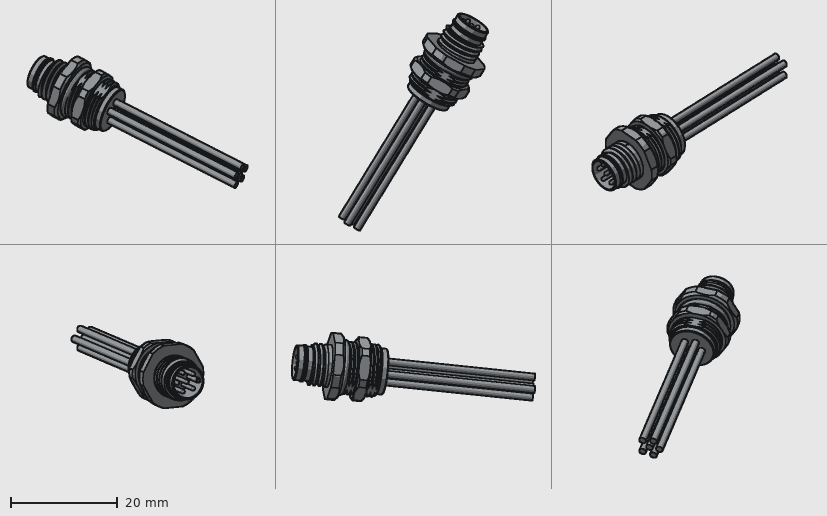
import cadquery as cq
import math


bump_start = 1.22
bump_end = 1.95
front_thread_start = 2.9
front_groove_end = 6.0
flange_start = 6.5
flange_end = 8.55
seal_end = 9.65
nut_start = 11.35
nut_end = 13.5
rear_thread_end = 15.75
rear_taper_end = 15.95
body_end = 17.1
overall_length = 45.5

sleeve_radius = 3.3
neck_radius = 3.25
bump_radius = 3.5
edge_chamfer = 0.15
socket_radius = 2.75
socket_mouth_radius = 2.95
socket_depth = 5.0

contact_circle_radius = 1.94
contact_step = 67
pin_radius = 0.4
pin_recess = 0.3
key_radius = 0.47
key_chamfer = 0.15
key_offset = 2.56
key_recess = 0.8
wire_radius = 0.67
contact_embedding = 1.0

front_thread_radius = 4.0
front_pitch = 1.0
front_thread_depth = 0.6
rear_thread_radius = 4.97
rear_pitch = 0.75
rear_thread_depth = 0.42
rear_thread_chamfer = 0.35
rear_thread_flat_height = 4.5
groove_mouth_ratio = 0.99
groove_overshoot = 0.1

flange_across_flats = 12.0
flange_corner_radius = 6.3
flange_chamfer_radius = 5.8
flange_chamfer_length = 0.5
seal_outer_radius = 5.22
nut_across_flats = 11.1
nut_corner_radius = 6.0
nut_chamfer_radius = 5.6
nut_chamfer_length = 0.35
rear_collar_radius = 4.35
rear_taper_radius = 4.5


def cylinder(start, end, radius, y=0, z=0):
    """Cylinder parallel to X between two stations."""
    return cq.Workplane("YZ", origin=(start, y, z)).circle(radius).extrude(end - start)


def revolved(points):
    """Solid of revolution about X from (x, radius) points."""
    return cq.Workplane("XY").polyline(points).close().revolve(360, (0, 0), (1, 0))


def thread_groove(start, end, radius, pitch, depth):
    """Right-handed V groove about X, whose last turn ends at the top of the part."""
    turns = (end - start) / pitch
    root = radius - depth
    outer = radius + groove_overshoot
    half_width = groove_mouth_ratio * pitch / 2
    helix = cq.Wire.makeHelix(pitch, end - start, root)
    profile = cq.Workplane("XZ").polyline([(root, 0), (outer, half_width), (outer, -half_width)]).close()
    groove = profile.sweep(cq.Workplane(helix), isFrenet=True)
    end_angle = 360 * turns + 180
    groove = groove.rotate((0, 0, 0), (0, 0, 1), -end_angle)
    return groove.rotate((0, 0, 0), (0, 1, 0), 90).translate((start, 0, 0))


def hexagon(start, end, across_flats):
    """Hexagonal prism along X with flats facing up and down."""
    corner_diameter = across_flats / math.cos(math.pi / 6)
    return cq.Workplane("YZ", origin=(start, 0, 0)).polygon(6, corner_diameter).extrude(end - start)


def make_sleeve():
    bump_rise = (bump_end - bump_start) / 3
    return revolved([
        (0, 0),
        (0, sleeve_radius - edge_chamfer),
        (edge_chamfer, sleeve_radius),
        (bump_start, sleeve_radius),
        (bump_start + bump_rise, bump_radius),
        (bump_end - bump_rise, bump_radius),
        (bump_end, neck_radius),
        (flange_start, neck_radius),
        (flange_start, 0),
    ])


def make_front_thread():
    thread = cylinder(front_thread_start, flange_start, front_thread_radius)
    turns = math.ceil((front_groove_end - front_thread_start) / front_pitch)
    groove_start = front_groove_end - turns * front_pitch
    return thread.cut(thread_groove(
        groove_start, front_groove_end, front_thread_radius, front_pitch, front_thread_depth))


def make_flange():
    envelope = revolved([
        (flange_start, 0),
        (flange_start, flange_corner_radius),
        (flange_end - flange_chamfer_length, flange_corner_radius),
        (flange_end, flange_chamfer_radius),
        (flange_end, 0),
    ])
    return hexagon(flange_start, flange_end, flange_across_flats).intersect(envelope)


def make_seal_ring():
    tube_radius = (seal_end - flange_end) / 2
    base_radius = seal_outer_radius - tube_radius
    crown = (flange_end + tube_radius, seal_outer_radius)
    profile = (
        cq.Workplane("XY")
        .moveTo(flange_end, 0)
        .lineTo(flange_end, base_radius)
        .radiusArc(crown, tube_radius)
        .radiusArc((seal_end, base_radius), tube_radius)
        .lineTo(seal_end, 0)
        .close()
    )
    return profile.revolve(360, (0, 0), (1, 0))


def make_rear_thread():
    """Threaded barrel with a chamfered rear end and flats on top and bottom."""
    groove = thread_groove(
        flange_end, rear_thread_end + rear_pitch, rear_thread_radius, rear_pitch, rear_thread_depth)
    thread = cylinder(flange_end, rear_thread_end + 2 * rear_pitch, rear_thread_radius).cut(groove)
    length = rear_thread_end - flange_end
    envelope = cylinder(flange_end, rear_thread_end, rear_thread_radius).faces(">X").chamfer(rear_thread_chamfer)
    flats = cq.Workplane("XY", origin=(flange_end + length / 2, 0, 0)).box(
        length, 2 * rear_thread_radius, 2 * rear_thread_flat_height)
    return thread.intersect(envelope.intersect(flats))


def make_nut():
    envelope = revolved([
        (nut_start, 0),
        (nut_start, nut_chamfer_radius),
        (nut_start + nut_chamfer_length, nut_corner_radius),
        (nut_end - nut_chamfer_length, nut_corner_radius),
        (nut_end, nut_chamfer_radius),
        (nut_end, 0),
    ])
    return hexagon(nut_start, nut_end, nut_across_flats).intersect(envelope)


def make_rear_collar():
    return revolved([
        (rear_thread_end, 0),
        (rear_thread_end, rear_taper_radius),
        (rear_taper_end, rear_collar_radius),
        (body_end - edge_chamfer, rear_collar_radius),
        (body_end, rear_collar_radius - edge_chamfer),
        (body_end, 0),
    ])


def make_socket():
    return revolved([
        (0, 0),
        (0, socket_mouth_radius),
        (socket_depth, socket_radius),
        (socket_depth, 0),
    ])


def contact_places():
    """(y, z) of the central contact and the five on the circle, leaving the key side open."""
    places = [(0, 0)]
    for step in range(-2, 3):
        angle = math.radians(step * contact_step)
        places.append((contact_circle_radius * math.cos(angle), contact_circle_radius * math.sin(angle)))
    return places


def make_key():
    key = cylinder(key_recess, socket_depth + contact_embedding, key_radius, y=-key_offset)
    return key.faces("<X").chamfer(key_chamfer)


def make_pin(y, z):
    """Contact pin with a hemispherical tip."""
    tip_center = pin_recess + pin_radius
    shank = cylinder(tip_center, socket_depth + contact_embedding, pin_radius, y, z)
    tip = cq.Workplane("XY").sphere(pin_radius).translate((tip_center, y, z))
    return shank.union(tip)


def make_wire(y, z):
    return cylinder(body_end - contact_embedding, overall_length, wire_radius, y, z)


body_sections = (
    make_front_thread(),
    make_flange(),
    make_seal_ring(),
    make_rear_thread(),
    make_nut(),
    make_rear_collar(),
)

result = make_sleeve()
for section in body_sections:
    result = result.union(section)

result = result.cut(make_socket()).union(make_key())
for y, z in contact_places():
    result = result.union(make_pin(y, z)).union(make_wire(y, z))